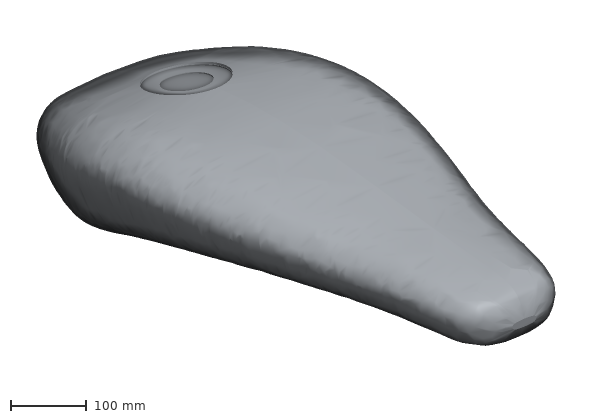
import cadquery as cq
import math

LENGTH = 854.0
BODY_HEIGHT = 231.0
BODY_HALF_WIDTH = 216.0

STATIONS = [
    ((0.0, 122.0), (0.0, 102.5), 49.5),
    ((5.0, 142.0), (5.0, 79.0), 80.0),
    ((15.0, 154.5), (20.5, 56.0), 104.0),
    ((41.0, 172.5), (61.5, 18.0), 138.0),
    ((82.0, 190.0), (124.0, 0.0), 168.0),
    ((137.0, 209.0), (171.0, 6.0), 194.0),
    ((205.0, 224.5), (230.5, 26.5), 211.0),
    ((282.0, BODY_HEIGHT), (295.0, 44.0), BODY_HALF_WIDTH),
    ((376.0, 229.0), (376.0, 65.0), 209.0),
    ((470.0, 219.0), (470.0, 79.0), 187.0),
    ((563.5, 204.0), (563.5, 87.0), 157.0),
    ((649.0, 189.5), (649.0, 87.0), 129.0),
    ((726.0, 179.0), (726.0, 86.0), 110.0),
    ((777.0, 172.0), (777.0, 84.0), 99.0),
    ((811.0, 165.0), (811.0, 82.0), 88.0),
    ((832.5, 156.0), (832.5, 84.5), 74.0),
    ((845.0, 143.0), (845.0, 93.0), 53.0),
    ((851.0, 130.0), (851.0, 103.0), 34.0),
    ((LENGTH, 121.0), (LENGTH, 109.0), 21.0),
]

NOSE_HALF_SECTION = [
    (0.50, 0.02),
    (0.85, 0.10),
    (1.00, 0.27),
    (0.97, 0.50),
    (0.81, 0.78),
    (0.46, 0.96),
]
TAIL_HALF_SECTION = [
    (0.50, 0.04),
    (0.85, 0.17),
    (1.00, 0.38),
    (0.98, 0.60),
    (0.84, 0.84),
    (0.48, 0.97),
]
BLEND_START_X = 282.0
BLEND_END_X = 563.5

RECESS_X = 188.0
RECESS_Z = 219.0
RECESS_TILT = 11.0
RECESS_STEPS = [(124.0, 2.0), (122.0, 3.0), (72.0, 5.0)]
CUT_CLEARANCE = 26.0


def half_cross_section(top, bottom, half_width):
    """Closed +Y half outline in the plane through the top and bottom points."""
    blend = (top[0] - BLEND_START_X) / (BLEND_END_X - BLEND_START_X)
    blend = min(max(blend, 0), 1)
    top_point = cq.Vector(top[0], 0, top[1])
    bottom_point = cq.Vector(bottom[0], 0, bottom[1])
    points = [top_point]
    for nose, tail in zip(NOSE_HALF_SECTION, TAIL_HALF_SECTION):
        across = nose[0] + blend * (tail[0] - nose[0])
        down = nose[1] + blend * (tail[1] - nose[1])
        on_axis = top_point + (bottom_point - top_point) * down
        points.append(on_axis + cq.Vector(0, across * half_width, 0))
    points.append(bottom_point)
    outward = cq.Vector(0, 1, 0)
    skin = cq.Edge.makeSpline(points, tangents=[outward, -outward])
    closing_line = cq.Edge.makeLine(bottom_point, top_point)
    return cq.Wire.assembleEdges([skin, closing_line])


def make_body():
    sections = [half_cross_section(*station) for station in STATIONS]
    half = cq.Workplane(cq.Solid.makeLoft(sections))
    body = half.union(half.mirror("XZ"))
    envelope = cq.Workplane().box(LENGTH, LENGTH, LENGTH).translate((LENGTH / 2, 0, 0))
    return body.intersect(envelope)


def make_recess():
    """Stacked discs that reach above the crown, leaning with its slope."""
    lean = math.radians(RECESS_TILT)
    up = cq.Vector(-math.sin(lean), 0, math.cos(lean))
    rim_centre = cq.Vector(RECESS_X, 0, RECESS_Z)
    cutter = cq.Workplane()
    for diameter, depth in RECESS_STEPS:
        disc = cq.Solid.makeCylinder(
            diameter / 2, depth + CUT_CLEARANCE, rim_centre - up * depth, up
        )
        cutter = cutter.union(cq.Workplane(disc))
    return cutter


result = make_body().cut(make_recess())